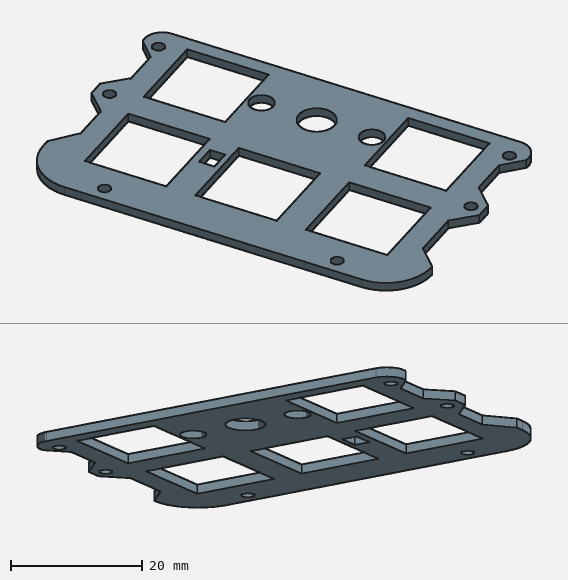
import cadquery as cq
import math

length = 67.15
width = 43.1
thickness = 1.5
half_length = length / 2
half_width = width / 2

bottom_corner_radius = 7.9
top_corner_radius = 3.1
top_corner_inset = 0.4
top_corner_overrun = 13

notch_x = 30.1
upper_notch_top = 14.65
notch_depth = half_length - notch_x
left_lug_top = 4.9
left_lug_bottom = 2.1
left_lower_notch_end = -7.9
left_shoulder = -12.15
right_lug_top = 4.55
right_lug_bottom = 1.75
right_lower_notch_end = -10.0

key_size = 14.05
key_pitch = 19.1
top_row_y = 12.0
bottom_row_y = top_row_y - key_pitch

centre_opening_diameter = 6.1
side_opening_diameter = 4.0

slot_length = 2.6
slot_width = 3.5
slot_centre = (-9.35, -4.3)

screw_diameter = 2.0
screw_centres = [
    (-30.3, 17.6),
    (30.3, 17.6),
    (-31.0, 3.15),
    (31.35, 3.15),
    (-20.1, -19.0),
    (20.1, -19.0),
]


def on_arc(centre, radius, degrees):
    angle = math.radians(degrees)
    return (centre[0] + radius * math.cos(angle), centre[1] + radius * math.sin(angle))


def plate():
    corner_x = half_length - top_corner_inset - top_corner_radius
    corner_y = half_width - top_corner_radius
    left_corner = (-corner_x, corner_y)
    right_corner = (corner_x, corner_y)

    right_flank_start = on_arc(right_corner, top_corner_radius, -top_corner_overrun)
    left_flank_start = on_arc(left_corner, top_corner_radius, 180 + top_corner_overrun)

    bottom_x = half_length - bottom_corner_radius
    bottom_y = -half_width + bottom_corner_radius
    left_bottom_corner = (-bottom_x, bottom_y)
    right_bottom_corner = (bottom_x, bottom_y)

    outline = (
        cq.Workplane("XY")
        .moveTo(-corner_x, half_width)
        .lineTo(corner_x, half_width)
        .threePointArc(on_arc(right_corner, top_corner_radius, 45), right_flank_start)
        .lineTo(notch_x, upper_notch_top)
        .lineTo(notch_x, right_lug_top + notch_depth)
        .lineTo(half_length, right_lug_top)
        .lineTo(half_length, right_lug_bottom)
        .lineTo(notch_x, right_lug_bottom - notch_depth)
        .lineTo(notch_x, right_lower_notch_end)
        .lineTo(half_length, right_lower_notch_end - notch_depth)
        .lineTo(half_length, bottom_y)
        .threePointArc(on_arc(right_bottom_corner, bottom_corner_radius, -45), (bottom_x, -half_width))
        .lineTo(-bottom_x, -half_width)
        .threePointArc(on_arc(left_bottom_corner, bottom_corner_radius, 225), (-half_length, bottom_y))
        .lineTo(-half_length, left_shoulder)
        .lineTo(-notch_x, left_lower_notch_end)
        .lineTo(-notch_x, left_lug_bottom - notch_depth)
        .lineTo(-half_length, left_lug_bottom)
        .lineTo(-half_length, left_lug_top)
        .lineTo(-notch_x, left_lug_top + notch_depth)
        .lineTo(-notch_x, upper_notch_top)
        .lineTo(*left_flank_start)
        .threePointArc(on_arc(left_corner, top_corner_radius, 135), (-corner_x, half_width))
        .close()
    )
    return outline.extrude(thickness)


def rectangular_openings(centres, size_x, size_y):
    return cq.Workplane("XY").pushPoints(centres).rect(size_x, size_y).extrude(thickness)


def round_openings(centres, diameter):
    return cq.Workplane("XY").pushPoints(centres).circle(diameter / 2).extrude(thickness)


key_centres = [(column * key_pitch, bottom_row_y) for column in (-1, 0, 1)]
key_centres += [(column * key_pitch, top_row_y) for column in (-1, 1)]
side_opening_centres = [(side * key_pitch / 2, top_row_y) for side in (-1, 1)]

result = (
    plate()
    .cut(rectangular_openings(key_centres, key_size, key_size))
    .cut(rectangular_openings([slot_centre], slot_length, slot_width))
    .cut(round_openings([(0, top_row_y)], centre_opening_diameter))
    .cut(round_openings(side_opening_centres, side_opening_diameter))
    .cut(round_openings(screw_centres, screw_diameter))
)